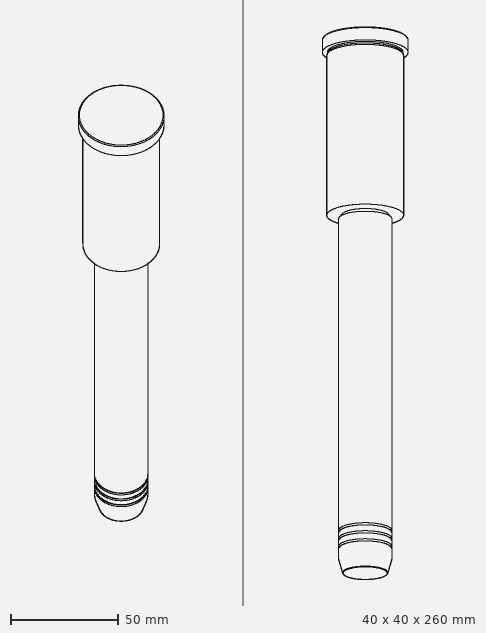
import cadquery as cq

total_length = 260.0
head_diameter = 40.0
head_height = 6.5
head_chamfer = 0.5
body_diameter = 36.0
body_bottom_z = 174.2
shaft_diameter = 25.0

relief_width = 1.5
relief_slope_width = 0.8
relief_depth = 0.3

neck_diameter = 21.8
neck_length = 1.8

taper_length = 7.0
tip_diameter = 21.0
tip_chamfer = 0.3

groove_count = 3
groove_pitch = 4.0
groove_width = 1.0
lowest_groove_z = 12.5


def cylinder(diameter, bottom_z, top_z):
    """Solid disc or rod on the Z axis between two heights."""
    return cq.Workplane("XY").workplane(offset=bottom_z).circle(diameter / 2).extrude(top_z - bottom_z)


def cone(bottom_diameter, top_diameter, bottom_z, top_z):
    """Truncated cone on the Z axis between two heights."""
    profile = [
        (0, bottom_z),
        (bottom_diameter / 2, bottom_z),
        (top_diameter / 2, top_z),
        (0, top_z),
    ]
    return cq.Workplane("XZ").polyline(profile).close().revolve(360, (0, 0), (0, 1))


def ring_cutter(center_z):
    """Ring of round section that leaves a half-round groove in the shaft."""
    section = cq.Workplane("XZ").center(shaft_diameter / 2, center_z).circle(groove_width / 2)
    return section.revolve(360, (-shaft_diameter / 2, 0), (-shaft_diameter / 2, 1))


def make_head():
    head = cylinder(head_diameter, total_length - head_height, total_length)
    return head.faces(">Z").edges().chamfer(head_chamfer)


def make_body():
    head_bottom_z = total_length - head_height
    slope_bottom_z = head_bottom_z - relief_width
    slope_top_z = slope_bottom_z + relief_slope_width
    relief_diameter = body_diameter - 2 * relief_depth
    body = cylinder(body_diameter, body_bottom_z, slope_bottom_z)
    slope = cone(body_diameter, relief_diameter, slope_bottom_z, slope_top_z)
    relief = cylinder(relief_diameter, slope_top_z, head_bottom_z)
    return body.union(slope).union(relief)


def make_shaft():
    neck_bottom_z = body_bottom_z - neck_length
    tip = cone(tip_diameter, shaft_diameter, 0, taper_length)
    tip = tip.faces("<Z").edges().chamfer(tip_chamfer)
    rod = cylinder(shaft_diameter, taper_length, neck_bottom_z)
    neck = cone(shaft_diameter, neck_diameter, neck_bottom_z, body_bottom_z)
    shaft = tip.union(rod).union(neck)
    for index in range(groove_count):
        groove_z = lowest_groove_z + index * groove_pitch
        shaft = shaft.cut(ring_cutter(groove_z))
    return shaft


result = make_head().union(make_body()).union(make_shaft())